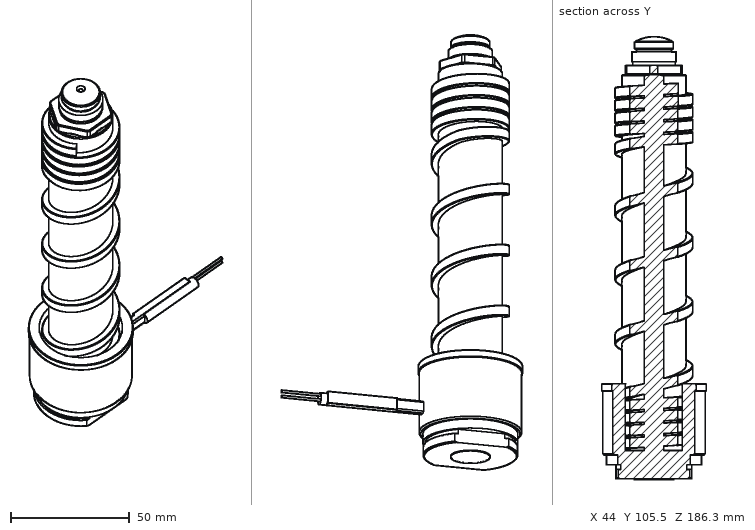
import cadquery as cq
import math

BOTTOM_PAD_RADIUS = 8.3
BOTTOM_PAD_HEIGHT = 0.4
BASE_RADIUS = 19.9
BASE_CHAMFER = 0.5
NECK_BOTTOM_Z = 4.4
NECK_RADIUS = 19.0
COLLAR_BOTTOM_Z = 6.3
COLLAR_RADIUS = 20.0
BODY_BOTTOM_Z = 10.3
BODY_RADIUS = 21.6
BODY_CHAMFER = 0.7
FLANGE_BOTTOM_Z = 37.2
FLANGE_TOP_Z = 40.4
FLANGE_RADIUS = 22.0
FLANGE_CHAMFER = 0.3
WRENCH_FLAT_DISTANCE = 16.0
BORE_RADIUS = 17.5
FOOT_CLEARANCE = 0.1

TUBE_RADIUS = 13.5
TUBE_TOP_Z = 170.4
TUBE_TOP_CHAMFER = 0.5
SEAT_RADIUS = 11.5
NUT_BOTTOM_Z = 170.7
NUT_TOP_Z = 174.4
NUT_ACROSS_FLATS = 24.0
NUT_CORNER_RADIUS = 13.5
NUT_TOP_CHAMFER = 0.4
PLUG_RADIUS = 9.3
PLUG_FOOT_RADIUS = 9.0
PLUG_FOOT_TOP_Z = 175.8
PLUG_TOP_Z = 179.9
GROOVE_RADIUS = 7.3
GROOVE_TOP_Z = 180.9
CAP_RADIUS = 8.2
CAP_CHAMFER = 0.5
DOME_EDGE_Z = 184.4
DOME_TOP_Z = 186.4
VENT_RADIUS = 0.9
VENT_DEPTH = 6.0
VENT_MOUTH_RADIUS = 1.9
VENT_MOUTH_DEPTH = VENT_MOUTH_RADIUS - VENT_RADIUS

SPRING_OUTER_RADIUS = 16.4
SPRING_SINK = 0.5
SPRING_INNER_RADIUS = TUBE_RADIUS - SPRING_SINK
WIRE_HEIGHT = 4.5
WIRE_CHAMFER = 0.3
OPEN_PITCH = 27.0
OPEN_TURNS = 3 + 210 / 360
OPEN_START_ANGLE = 296.0
OPEN_START_Z = 40.9
UPPER_RUNOUT_PITCH = 15.4
LOWER_RUNOUT_PITCH = 22.0
UPPER_RUNOUT_TURNS = 117 / 360
LOWER_RUNOUT_TURNS = 70 / 360
CLOSE_PITCH = 5.3
CLOSE_TURNS = 4 + 46 / 360
LOWER_RUNOUT_RISE = LOWER_RUNOUT_PITCH * LOWER_RUNOUT_TURNS
CLOSE_RISE = CLOSE_PITCH * CLOSE_TURNS
SPRING_START_Z = OPEN_START_Z - LOWER_RUNOUT_RISE - CLOSE_RISE
SPRING_START_ANGLE = OPEN_START_ANGLE - 360 * (LOWER_RUNOUT_TURNS + CLOSE_TURNS)
BORE_FLOOR_Z = SPRING_START_Z - WIRE_HEIGHT / 2 - FOOT_CLEARANCE

CABLE_Z = 19.4
CABLE_HEIGHT = 5.3
LEAD_X = (-2.7, 0.9)
LEAD_CHAMFER = 0.7
CABLE_START_Y = 19.0
SLEEVE_X = (-3.1, 0.25)
SLEEVE_CHAMFER = 0.2
SLEEVE_START_Y = 33.2
SLEEVE_END_Y = 63.5
JACKET_RADIUS = 2.55
JACKET_START_Y = 36.5
JACKET_END_Y = 66.4
CONDUCTOR_RADIUS = 0.55
CONDUCTOR_SPACING = 2.3
CONDUCTOR_X = -1.35
CONDUCTOR_END_Y = 83.5


def cylinder(radius, bottom_z, top_z):
    return cq.Workplane("XY").workplane(offset=bottom_z).circle(radius).extrude(top_z - bottom_z)


def housing():
    base = cylinder(BASE_RADIUS, BOTTOM_PAD_HEIGHT, NECK_BOTTOM_Z).faces("<Z").chamfer(BASE_CHAMFER)
    base = base.union(cylinder(NECK_RADIUS, NECK_BOTTOM_Z, COLLAR_BOTTOM_Z))
    flats = cq.Workplane("XY").box(
        2 * WRENCH_FLAT_DISTANCE, 2 * BASE_RADIUS, COLLAR_BOTTOM_Z, centered=(True, True, False)
    )
    base = base.intersect(flats)
    pad = cylinder(BOTTOM_PAD_RADIUS, 0, BOTTOM_PAD_HEIGHT)
    collar = cylinder(COLLAR_RADIUS, COLLAR_BOTTOM_Z, BODY_BOTTOM_Z)
    body = cylinder(BODY_RADIUS, BODY_BOTTOM_Z, FLANGE_BOTTOM_Z).faces("<Z").chamfer(BODY_CHAMFER)
    flange = cylinder(FLANGE_RADIUS, FLANGE_BOTTOM_Z, FLANGE_TOP_Z).edges().chamfer(FLANGE_CHAMFER)
    bore = cylinder(BORE_RADIUS, BORE_FLOOR_Z, FLANGE_TOP_Z)
    return base.union(pad).union(collar).union(body).union(flange).cut(bore)


def tube():
    return cylinder(TUBE_RADIUS, BORE_FLOOR_Z, TUBE_TOP_Z).faces(">Z").chamfer(TUBE_TOP_CHAMFER)


def nut():
    seat = cylinder(SEAT_RADIUS, TUBE_TOP_Z, NUT_BOTTOM_Z)
    across_corners = NUT_ACROSS_FLATS / math.cos(math.pi / 6)
    hexagon = (
        cq.Workplane("XY")
        .workplane(offset=NUT_BOTTOM_Z)
        .transformed(rotate=(0, 0, 30))
        .polygon(6, across_corners)
        .extrude(NUT_TOP_Z - NUT_BOTTOM_Z)
    )
    turned = cylinder(NUT_CORNER_RADIUS, NUT_BOTTOM_Z, NUT_TOP_Z)
    body = hexagon.intersect(turned).faces(">Z").chamfer(NUT_TOP_CHAMFER)
    return seat.union(body)


def plug():
    dome_rise = DOME_TOP_Z - DOME_EDGE_Z
    dome_edge_radius = CAP_RADIUS - CAP_CHAMFER
    dome_radius = (dome_edge_radius**2 + dome_rise**2) / (2 * dome_rise)
    half_edge = dome_edge_radius / 2
    half_edge_z = DOME_TOP_Z - dome_radius + math.sqrt(dome_radius**2 - half_edge**2)
    profile = (
        cq.Workplane("XZ")
        .moveTo(0, NUT_TOP_Z)
        .lineTo(PLUG_FOOT_RADIUS, NUT_TOP_Z)
        .lineTo(PLUG_FOOT_RADIUS, PLUG_FOOT_TOP_Z)
        .lineTo(PLUG_RADIUS, PLUG_FOOT_TOP_Z)
        .lineTo(PLUG_RADIUS, PLUG_TOP_Z)
        .lineTo(GROOVE_RADIUS, PLUG_TOP_Z)
        .lineTo(GROOVE_RADIUS, GROOVE_TOP_Z)
        .lineTo(dome_edge_radius, GROOVE_TOP_Z)
        .lineTo(CAP_RADIUS, GROOVE_TOP_Z + CAP_CHAMFER)
        .lineTo(CAP_RADIUS, DOME_EDGE_Z - CAP_CHAMFER)
        .lineTo(dome_edge_radius, DOME_EDGE_Z)
        .threePointArc((half_edge, half_edge_z), (0, DOME_TOP_Z))
        .close()
    )
    solid = profile.revolve(360, (0, 0, 0), (0, 1, 0))
    vent = cylinder(VENT_RADIUS, DOME_TOP_Z - VENT_DEPTH, DOME_TOP_Z)
    countersink = cq.Workplane("XY").add(
        cq.Solid.makeCone(
            VENT_RADIUS, VENT_MOUTH_RADIUS, VENT_MOUTH_DEPTH, pnt=(0, 0, DOME_TOP_Z - VENT_MOUTH_DEPTH)
        )
    )
    return solid.cut(vent).cut(countersink)


def coil(pitch, turns, start_angle, start_z):
    """Rectangular wire wound right-handed, its ends cut in planes through the axis."""
    middle_radius = (SPRING_INNER_RADIUS + SPRING_OUTER_RADIUS) / 2
    path = cq.Wire.makeHelix(pitch, pitch * turns, middle_radius)
    half_height = WIRE_HEIGHT / 2
    section = (
        cq.Workplane("XZ")
        .moveTo(SPRING_INNER_RADIUS, -half_height)
        .lineTo(SPRING_OUTER_RADIUS - WIRE_CHAMFER, -half_height)
        .lineTo(SPRING_OUTER_RADIUS, -half_height + WIRE_CHAMFER)
        .lineTo(SPRING_OUTER_RADIUS, half_height - WIRE_CHAMFER)
        .lineTo(SPRING_OUTER_RADIUS - WIRE_CHAMFER, half_height)
        .lineTo(SPRING_INNER_RADIUS, half_height)
        .close()
    )
    wound = section.sweep(cq.Workplane(path), isFrenet=True)
    return wound.rotate((0, 0, 0), (0, 0, 1), start_angle).translate((0, 0, start_z))


def add_spring(part):
    angle = SPRING_START_ANGLE
    height = SPRING_START_Z
    stretches = (
        (CLOSE_PITCH, CLOSE_TURNS),
        (LOWER_RUNOUT_PITCH, LOWER_RUNOUT_TURNS),
        (OPEN_PITCH, OPEN_TURNS),
        (UPPER_RUNOUT_PITCH, UPPER_RUNOUT_TURNS),
        (CLOSE_PITCH, CLOSE_TURNS),
    )
    for pitch, turns in stretches:
        part = part.union(coil(pitch, turns, angle, height))
        angle += 360 * turns
        height += pitch * turns
    return part


def bar_along_y(x_range, start_y, end_y, chamfer):
    left, right = x_range
    return (
        cq.Workplane("XY")
        .box(right - left, end_y - start_y, CABLE_HEIGHT, centered=(False, False, True))
        .edges("|Y")
        .chamfer(chamfer)
        .translate((left, start_y, CABLE_Z))
    )


def rod_along_y(x, z, radius, start_y, end_y):
    return (
        cq.Workplane("XZ", origin=(x, start_y, z))
        .circle(radius)
        .extrude(start_y - end_y)
    )


def cable():
    lead = bar_along_y(LEAD_X, CABLE_START_Y, SLEEVE_END_Y, LEAD_CHAMFER)
    sleeve = bar_along_y(SLEEVE_X, SLEEVE_START_Y, SLEEVE_END_Y, SLEEVE_CHAMFER)
    jacket = rod_along_y(0, CABLE_Z, JACKET_RADIUS, JACKET_START_Y, JACKET_END_Y)
    bundle = lead.union(sleeve).union(jacket)
    for side in (-1, 1):
        z = CABLE_Z + side * CONDUCTOR_SPACING / 2
        bundle = bundle.union(
            rod_along_y(CONDUCTOR_X, z, CONDUCTOR_RADIUS, SLEEVE_END_Y, CONDUCTOR_END_Y)
        )
    return bundle


shaft = add_spring(tube()).union(nut()).union(plug())
result = housing().union(shaft).union(cable())